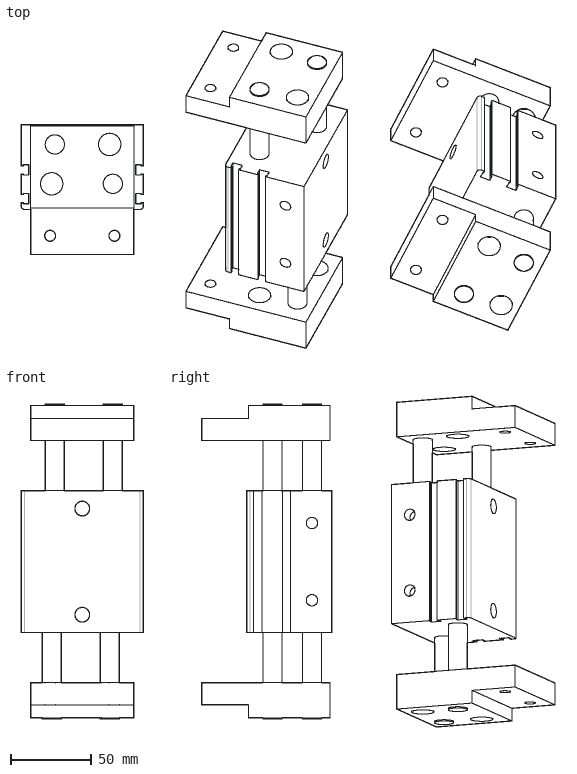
import cadquery as cq
import math

total_height = 196.0
total_depth = 81.0
back_y = total_depth / 2

body_width = 76.0
body_depth = 53.0
body_height = 88.2
front_edge_radius = 2.2

slot_mouth = 5.0
slot_undercut = 6.3
slot_depth = 4.7
slot_lip = 1.4
slot_offsets = (28.2, 46.0)

mount_hole_diameter = 9.0
mount_hole_spacing = 66.0
side_hole_diameter = 7.0
side_hole_spacing = 48.0
side_hole_depth = 8.8
drill_point_angle = 118.0

plate_width = 64.0
plate_setback = 1.0
plate_thickness = 22.0
plate_step_height = 8.0
plate_raised_depth = 51.0
plate_hole_diameter = 6.7
plate_hole_spacing = 40.0
plate_hole_offset = 11.8

rod_diameter = 12.0
rod_protrusion = 0.8
clearance_diameter = 14.0
back_row_x = -17.0
front_row_x = 19.0
back_row_offset = 12.3
row_spacing = 24.5

body_front_y = back_y - body_depth
plate_top = total_height / 2 - rod_protrusion
plate_back_y = back_y - plate_setback
plate_front_y = -back_y
back_row_y = back_y - back_row_offset
front_row_y = back_row_y - row_spacing
side_hole_y = back_row_y
rod_points = [(back_row_x, back_row_y), (front_row_x, front_row_y)]
clearance_points = [(-x, y) for x, y in rod_points]


def t_slot(side, offset):
    """T-slot cutter on the +X (side=1) or -X (side=-1) face, full body height."""
    slot_y = back_y - offset
    face_x = side * body_width / 2

    def channel(near, far, width):
        return (
            cq.Workplane("XY")
            .center(face_x - side * (near + far) / 2, slot_y)
            .rect(far - near, width)
            .extrude(body_height / 2, both=True)
        )

    mouth = channel(0, slot_depth, slot_mouth)
    undercut = channel(slot_lip, slot_depth, slot_undercut)
    return mouth.union(undercut)


def side_hole(side, z):
    """Blind drilled hole with a conical bottom, entering from one side face."""
    radius = side_hole_diameter / 2
    point_length = radius / math.tan(math.radians(drill_point_angle / 2))
    start = cq.Vector(side * body_width / 2, side_hole_y, z)
    inward = cq.Vector(-side, 0, 0)
    bore = cq.Solid.makeCylinder(radius, side_hole_depth, start, inward)
    point = cq.Solid.makeCone(radius, 0, point_length, start + inward * side_hole_depth, inward)
    return cq.Workplane(bore).union(cq.Workplane(point))


def make_body():
    body = (
        cq.Workplane("XY")
        .center(0, (back_y + body_front_y) / 2)
        .rect(body_width, body_depth)
        .extrude(body_height / 2, both=True)
        .edges("|Z and <Y")
        .fillet(front_edge_radius)
    )
    for side in (-1, 1):
        for offset in slot_offsets:
            body = body.cut(t_slot(side, offset))
        for z in (-side_hole_spacing / 2, side_hole_spacing / 2):
            body = body.cut(side_hole(side, z))
    mount_holes = (
        cq.Workplane("XZ")
        .pushPoints([(0, -mount_hole_spacing / 2), (0, mount_hole_spacing / 2)])
        .circle(mount_hole_diameter / 2)
        .extrude(total_depth, both=True)
    )
    return body.cut(mount_holes)


def make_plate():
    """Upper end plate: thick at the back, stepped down at the front."""
    plate_bottom = plate_top - plate_thickness
    step_y = plate_back_y - plate_raised_depth
    step_z = plate_top - plate_step_height
    plate = (
        cq.Workplane("YZ")
        .moveTo(plate_back_y, plate_bottom)
        .lineTo(plate_back_y, plate_top)
        .lineTo(step_y, plate_top)
        .lineTo(step_y, step_z)
        .lineTo(plate_front_y, step_z)
        .lineTo(plate_front_y, plate_bottom)
        .close()
        .extrude(plate_width / 2, both=True)
    )
    hole_y = plate_front_y + plate_hole_offset
    screw_points = [(-plate_hole_spacing / 2, hole_y), (plate_hole_spacing / 2, hole_y)]
    floor = cq.Workplane("XY").workplane(offset=plate_bottom)
    screw_holes = floor.pushPoints(screw_points).circle(plate_hole_diameter / 2).extrude(plate_thickness)
    clearance = floor.pushPoints(clearance_points).circle(clearance_diameter / 2).extrude(plate_thickness)
    return plate.cut(screw_holes).cut(clearance)


def make_rods():
    """Two rods from the top face of the body, through the upper plate and just above it."""
    rod_length = (total_height - body_height) / 2
    return (
        cq.Workplane("XY")
        .workplane(offset=body_height / 2)
        .pushPoints(rod_points)
        .circle(rod_diameter / 2)
        .extrude(rod_length)
    )


upper_carriage = make_plate().union(make_rods())
lower_carriage = upper_carriage.rotate((0, 0, 0), (0, 1, 0), 180)
result = make_body().union(upper_carriage).union(lower_carriage)